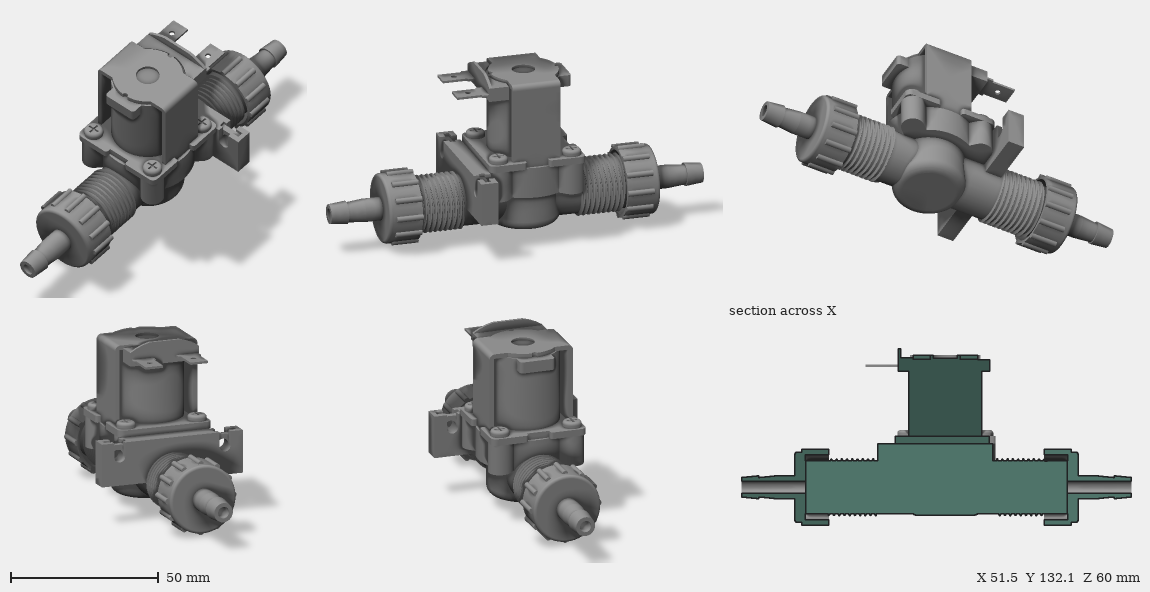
import cadquery as cq
import math


PIPE_DIA = 18.0
THREAD_HEIGHT = 1.0
THREAD_WIDTH = 0.9
THREAD_PITCH = 1.77
RING_COUNT = 18
THREAD_LEAD_IN = 1.0
THREAD_ROOT_SINK = 0.2
SOCKET_DIA = 22.0
SOCKET_DEPTH = 8.0
CENTRE_Y = 3.0
TOTAL_LENGTH = 132.1
NUT_DIA = 24.0
NUT_LENGTH = 11.7
NUT_EDGE_RADIUS = 1.0
RIB_DIA = 2.0
RIB_LENGTH = 9.3
RIB_COUNT = 12
BARB_DIA = 8.0
BARB_TIP_DIA = 6.8
BARB_STEP = 6.0
BORE_DIA = 4.0
CONNECTOR_LENGTH = NUT_LENGTH + 3 * BARB_STEP
MOUTH_DISTANCE = TOTAL_LENGTH / 2 - CONNECTOR_LENGTH

HOUSING_TOP = 14.9
BOSS_BOTTOM = 4.1
CHAMBER_DIA = 32.2
LOWER_DIA = 25.0
LOWER_BOTTOM = -9.6
LOWER_EDGE_RADIUS = 3.3
BOSS_DIA = 8.0
SCREW_OFFSET = 13.0

EAR_WIDTH = 51.5
EAR_BOTTOM = -0.1
EAR_FRONT = 17.0
EAR_THICKNESS = 6.0
EAR_HOLE_DIA = 4.0
EAR_HOLE_X = 19.25
EAR_HOLE_Z = 10.0
EAR_WEB_TOP = 13.7
EAR_WEB_THICKNESS = 2.1
EAR_POCKET_WIDTH = 8.2
EAR_POCKET_X = 20.05
EAR_BRIDGE_WIDTH = 2 * SCREW_OFFSET

COVER_SIZE = 34.0
COVER_THICKNESS = 2.4
COVER_TOP = HOUSING_TOP + COVER_THICKNESS
COVER_CORNER = 2.0
NOTCH_WIDTH = 8.0
NOTCH_DEPTH = 2.0
NOTCH_MOUTH_RADIUS = 1.0
SCREW_HEAD_DIA = 6.5
SCREW_HEAD_HEIGHT = 2.1
SCREW_HEAD_RADIUS = 1.05
CROSS_LENGTH = 4.0
CROSS_WIDTH = 0.7
CROSS_DEPTH = 0.8

FRAME_WIDTH = COVER_SIZE - 2 * NOTCH_DEPTH
FRAME_DEPTH = 17.0
FRAME_SHEET = 1.6
FRAME_BEND_RADIUS = 1.8
FRAME_TOP = 44.8
FRAME_DISC_DIA = 24.0
LOCATING_DIA = 2.0

COIL_DIA = 25.0
COIL_TOP = FRAME_TOP - FRAME_SHEET
CORE_DIA = 10.0
CORE_RECESS_DIA = 8.0
CORE_RECESS_DEPTH = 1.0
BLOCK_BACK = 16.0
BLOCK_FRONT = 9.1
BLOCK_BOTTOM = 39.2
BLOCK_TOP = 44.0
BLOCK_RECESS_DIA = 25.8
SHIELD_TOP = 47.0
SHIELD_THICKNESS = 1.0
SHIELD_FLAT = 11.0
SHIELD_RADIUS = 21.0
LUG_WIDTH = 12.5
LUG_REACH = 15.1
LUG_HEIGHT = COIL_TOP - BLOCK_BOTTOM
LUG_RADIUS = 1.2
TERMINAL_X = 8.2
TERMINAL_WIDTH = 6.4
TERMINAL_BASE_WIDTH = 8.0
TERMINAL_SHOULDER = 18.4
TERMINAL_END = 27.0
TERMINAL_BOTTOM = 40.8
TERMINAL_THICKNESS = 0.8
TERMINAL_HOLE_DIA = 2.0
TERMINAL_HOLE_X = 8.0
TERMINAL_HOLE_Y = 22.2

SIDES = (-1, 1)
CORNERS = [(sx * SCREW_OFFSET, sy * SCREW_OFFSET) for sx in SIDES for sy in SIDES]


def cylinder(diameter, bottom, top, x=0, y=0):
    """Upright cylinder between two heights."""
    return cq.Workplane("XY", origin=(x, y, bottom)).circle(diameter / 2).extrude(top - bottom)


def block(x_range, y_range, z_range):
    """Box between the given limits."""
    (x0, x1), (y0, y1), (z0, z1) = x_range, y_range, z_range
    return cq.Workplane("XY").box(x1 - x0, y1 - y0, z1 - z0, centered=False).translate((x0, y0, z0))


def along_pipe(shape, side):
    """Turn a shape built up along +Z so that it points outward along the pipe."""
    return shape.rotate((0, 0, 0), (1, 0, 0), -90 * side)


def mouth_distance(side):
    """Distance from the coil axis to a nut's open end."""
    return MOUTH_DISTANCE + side * CENTRE_Y


def thread_rings():
    """Sharp rings tilted alternately either way, so that neighbours cross above and below the pipe."""
    root = PIPE_DIA / 2 - THREAD_ROOT_SINK
    crest = PIPE_DIA / 2 + THREAD_HEIGHT
    ring = (
        cq.Workplane("XZ")
        .polyline([(root, -THREAD_WIDTH / 2), (crest, 0), (root, THREAD_WIDTH / 2)])
        .close()
        .revolve(360, (0, 0), (0, 1))
    )
    spacing = THREAD_PITCH / 2
    tilt = math.degrees(math.atan(spacing / (2 * crest)))
    rings = []
    for index in range(RING_COUNT):
        lean = -tilt if index % 2 == 0 else tilt
        tilted = ring.rotate((0, 0, 0), (1, 0, 0), lean)
        rings.append(tilted.translate((0, 0, THREAD_LEAD_IN + index * spacing)).val())
    return rings


def threaded_length():
    """Threaded end of a pipe arm; Z = 0 is its shoulder and its far end meets the socket floor."""
    core = cylinder(PIPE_DIA, 0, MOUTH_DISTANCE - CENTRE_Y - EAR_FRONT + SOCKET_DEPTH)
    return cq.Workplane(core.val().fuse(*thread_rings()))


def corner_bosses():
    """Round screw bosses with straight flanks running in towards the coil axis."""
    run = SCREW_OFFSET * math.sqrt(2)
    flank = cq.Workplane("XY", origin=(0, 0, BOSS_BOTTOM)).rect(2 * run, BOSS_DIA)
    bar = flank.extrude(HOUSING_TOP - BOSS_BOTTOM)
    bosses = bar.rotate((0, 0, 0), (0, 0, 1), 45).union(bar.rotate((0, 0, 0), (0, 0, 1), -45))
    for x, y in CORNERS:
        bosses = bosses.union(cylinder(BOSS_DIA, BOSS_BOTTOM, HOUSING_TOP, x, y))
    return bosses


def ears():
    """Mounting bar with an open-topped screw slot and a thin pocketed web in each ear."""
    half = EAR_WIDTH / 2
    back = EAR_FRONT + EAR_THICKNESS
    bar = block((-half, half), (EAR_FRONT, back), (EAR_BOTTOM, HOUSING_TOP))
    middle = EAR_FRONT + EAR_THICKNESS / 2
    web = (middle - EAR_WEB_THICKNESS / 2, middle + EAR_WEB_THICKNESS / 2)
    radius = EAR_HOLE_DIA / 2
    for side in SIDES:
        x = side * EAR_HOLE_X
        hole = cq.Workplane("XZ", origin=(x, back, EAR_HOLE_Z)).circle(radius).extrude(EAR_THICKNESS)
        slot = (x - radius, x + radius)
        above_hole = (EAR_HOLE_Z, HOUSING_TOP)
        bar = bar.cut(hole)
        bar = bar.cut(block(slot, (EAR_FRONT, web[0]), above_hole))
        bar = bar.cut(block(slot, (web[1], back), above_hole))
        pocket_x = side * EAR_POCKET_X
        pocket = (pocket_x - EAR_POCKET_WIDTH / 2, pocket_x + EAR_POCKET_WIDTH / 2)
        bar = bar.cut(block(pocket, web, (EAR_WEB_TOP, HOUSING_TOP)))
    half_bridge = EAR_BRIDGE_WIDTH / 2
    bridge = block((-half_bridge, half_bridge), (SCREW_OFFSET, EAR_FRONT), (BOSS_BOTTOM, HOUSING_TOP))
    return bar.union(bridge)


def make_housing():
    """Valve chamber with corner bosses, mounting ears and two threaded pipe arms."""
    lower = cylinder(LOWER_DIA, LOWER_BOTTOM, HOUSING_TOP).faces("<Z").edges().fillet(LOWER_EDGE_RADIUS)
    body = lower.union(cylinder(CHAMBER_DIA, BOSS_BOTTOM, HOUSING_TOP))
    body = body.union(corner_bosses()).union(ears())
    threaded = threaded_length()
    for side, shoulder in ((-1, EAR_FRONT), (1, EAR_FRONT + EAR_THICKNESS)):
        body = body.union(along_pipe(cylinder(PIPE_DIA, 0, shoulder), side))
        body = body.union(along_pipe(threaded.translate((0, 0, shoulder)), side))
    return body


def make_connector(side):
    """Ribbed union nut with a barbed hose tail, built with its open end at Z = 0."""
    nut = cylinder(NUT_DIA, 0, NUT_LENGTH).faces(">Z").edges().fillet(NUT_EDGE_RADIUS)
    ribs = (
        cq.Workplane("XY")
        .polarArray(NUT_DIA / 2, 0, 360, RIB_COUNT)
        .circle(RIB_DIA / 2)
        .extrude(RIB_LENGTH)
    )
    stem = BARB_DIA / 2
    tip = BARB_TIP_DIA / 2
    tail_stations = [NUT_LENGTH + step * BARB_STEP for step in range(4)]
    tail = (
        cq.Workplane("XZ")
        .polyline([
            (0, SOCKET_DEPTH),
            (stem, SOCKET_DEPTH),
            (stem, tail_stations[1]),
            (tip, tail_stations[2]),
            (stem, tail_stations[2]),
            (tip, tail_stations[3]),
            (0, tail_stations[3]),
        ])
        .close()
        .revolve(360, (0, 0), (0, 1))
    )
    connector = nut.union(ribs).union(tail)
    connector = connector.cut(cylinder(SOCKET_DIA, 0, SOCKET_DEPTH))
    connector = connector.cut(cylinder(BORE_DIA, 0, CONNECTOR_LENGTH))
    return along_pipe(connector.translate((0, 0, mouth_distance(side))), side)


def screw(x, y):
    """Pan head with a cross recess."""
    top = COVER_TOP + SCREW_HEAD_HEIGHT
    head = cylinder(SCREW_HEAD_DIA, COVER_TOP, top, x, y).faces(">Z").edges().fillet(SCREW_HEAD_RADIUS)
    recess = cq.Workplane("XY", origin=(x, y, top))
    for size in ((CROSS_LENGTH, CROSS_WIDTH), (CROSS_WIDTH, CROSS_LENGTH)):
        head = head.cut(recess.rect(*size).extrude(-CROSS_DEPTH))
    return head


def cover():
    """Square plate with rounded corners, edge notches on three sides and four screw heads."""
    half = COVER_SIZE / 2
    plate = (
        cq.Workplane("XY", origin=(0, 0, HOUSING_TOP))
        .rect(COVER_SIZE, COVER_SIZE)
        .extrude(COVER_THICKNESS)
        .edges("|Z")
        .fillet(COVER_CORNER)
    )
    half_notch = NOTCH_WIDTH / 2
    half_mouth = half_notch + NOTCH_MOUTH_RADIUS
    notch = (
        cq.Workplane("XY", origin=(0, -half, HOUSING_TOP))
        .moveTo(-half_mouth, 0)
        .radiusArc((-half_notch, NOTCH_MOUTH_RADIUS), -NOTCH_MOUTH_RADIUS)
        .lineTo(-half_notch, NOTCH_DEPTH)
        .lineTo(half_notch, NOTCH_DEPTH)
        .lineTo(half_notch, NOTCH_MOUTH_RADIUS)
        .radiusArc((half_mouth, 0), -NOTCH_MOUTH_RADIUS)
        .close()
        .extrude(COVER_THICKNESS)
    )
    for angle in (-90, 0, 90):
        plate = plate.cut(notch.rotate((0, 0, 0), (0, 0, 1), angle))
    for x, y in CORNERS:
        plate = plate.union(screw(x, y))
    return plate


def make_frame():
    """Bent sheet-metal yoke standing on the cover plate."""
    half = FRAME_WIDTH / 2
    half_depth = FRAME_DEPTH / 2
    yoke = block((-half, half), (-half_depth, half_depth), (HOUSING_TOP, FRAME_TOP))
    yoke = yoke.edges("|Y and >Z").fillet(FRAME_BEND_RADIUS)
    inside = half - FRAME_SHEET
    yoke = yoke.cut(block((-inside, inside), (-half_depth, half_depth), (HOUSING_TOP, COIL_TOP)))
    yoke = yoke.union(cylinder(FRAME_DISC_DIA, COIL_TOP, FRAME_TOP))
    yoke = yoke.cut(cylinder(CORE_DIA, COIL_TOP, FRAME_TOP))
    for side in SIDES:
        yoke = yoke.cut(cylinder(LOCATING_DIA, COIL_TOP, FRAME_TOP, 0, side * FRAME_DISC_DIA / 2))
    return yoke.union(cover())


def terminal_block():
    """Block behind the coil with an arched shield and a key that fits the frame's notch."""
    half = COIL_DIA / 2
    body = block((-half, half), (BLOCK_FRONT, BLOCK_BACK), (BLOCK_BOTTOM, BLOCK_TOP))
    body = body.cut(cylinder(BLOCK_RECESS_DIA, COIL_TOP, BLOCK_TOP))
    key_y = FRAME_DISC_DIA / 2
    half_key = LOCATING_DIA / 2
    key = cylinder(LOCATING_DIA, COIL_TOP, BLOCK_TOP, 0, key_y)
    key_root = block((-half_key, half_key), (key_y, BLOCK_RECESS_DIA / 2), (COIL_TOP, BLOCK_TOP))
    half_flat = SHIELD_FLAT / 2
    shield = (
        cq.Workplane("XZ", origin=(0, BLOCK_BACK, 0))
        .moveTo(-half, BLOCK_TOP)
        .radiusArc((-half_flat, SHIELD_TOP), SHIELD_RADIUS)
        .lineTo(half_flat, SHIELD_TOP)
        .radiusArc((half, BLOCK_TOP), SHIELD_RADIUS)
        .close()
        .extrude(SHIELD_THICKNESS)
    )
    return body.union(key).union(key_root).union(shield)


def terminal(side):
    """Flat blade with a wider root and a hole near its end."""
    z_range = (TERMINAL_BOTTOM, TERMINAL_BOTTOM + TERMINAL_THICKNESS)
    x = side * TERMINAL_X
    half = TERMINAL_WIDTH / 2
    half_base = TERMINAL_BASE_WIDTH / 2
    blade = block((x - half, x + half), (BLOCK_BACK, TERMINAL_END), z_range)
    root = block((x - half_base, x + half_base), (BLOCK_BACK, TERMINAL_SHOULDER), z_range)
    hole = cylinder(TERMINAL_HOLE_DIA, *z_range, side * TERMINAL_HOLE_X, TERMINAL_HOLE_Y)
    return blade.union(root).cut(hole)


def make_coil():
    """Round coil with a front lug, a recessed core, a terminal block and two terminals."""
    coil = cylinder(COIL_DIA, COVER_TOP, COIL_TOP)
    half_lug = LUG_WIDTH / 2
    lug = block((-half_lug, half_lug), (-LUG_REACH, 0), (COIL_TOP - LUG_HEIGHT, COIL_TOP))
    lug = lug.edges("|Z and <Y").fillet(LUG_RADIUS)
    core = cylinder(CORE_DIA, COIL_TOP, FRAME_TOP)
    core = core.cut(cylinder(CORE_RECESS_DIA, FRAME_TOP - CORE_RECESS_DEPTH, FRAME_TOP))
    coil = coil.union(lug).union(core).union(terminal_block())
    for side in SIDES:
        coil = coil.union(terminal(side))
    return coil


housing = make_housing()
frame = make_frame()
coil = make_coil()
connectors = [make_connector(side) for side in SIDES]

result = cq.Compound.makeCompound([
    housing.val(),
    frame.val(),
    coil.val(),
    *[connector.val() for connector in connectors],
])